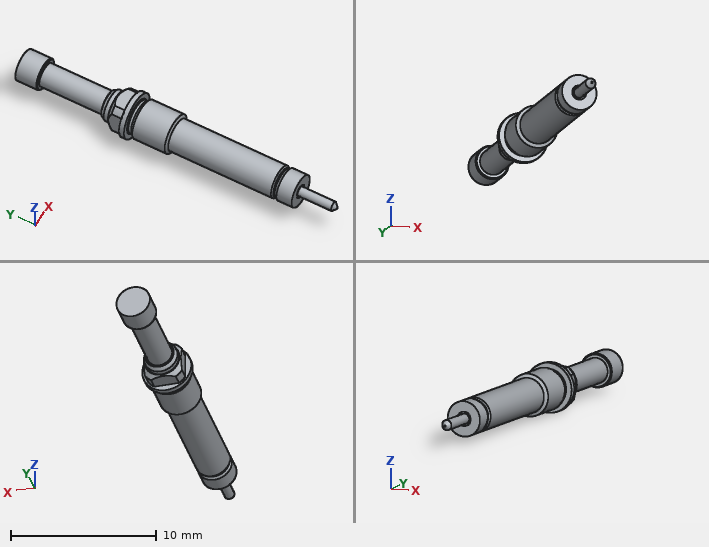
import cadquery as cq


plunger_top = 9.0
head_radius = 1.2
head_length = 1.75
head_chamfer = 0.08
shaft_radius = 0.9

collar_top = 2.25
collar_radius = 1.2
collar_chamfer_length = 0.31
collar_chamfer_depth = 0.18
key_top = 1.58
key_cone_start_radius = 1.25
key_cone_end = 1.23
key_radius = 1.59
key_across_flats = 2.65

flange_radius = 1.75
flange_thickness = 0.4
undercut_radius = 1.27
undercut_chamfer = 0.07
undercut_end = -0.29

barrel_radius = 1.5
barrel_end = -3.1
barrel_tail_chamfer_length = 0.13

tube_radius = 1.24
tube_end = -13.08
groove_center = -11.65
groove_depth = 0.12
groove_half_width = 0.22
groove_floor_width = 0.1

pin_radius = 0.36
pin_length = 2.92
pin_tip_radius = 0.06
recess_radius = 0.5
recess_depth = 0.1


def turned_body():
    """Revolve the half profile (radius, position) about the Y axis."""
    head_bottom = plunger_top - head_length
    barrel_start = undercut_end - (barrel_radius - undercut_radius)
    groove_top = groove_center + groove_half_width
    groove_bottom = groove_center - groove_half_width
    groove_radius = tube_radius - groove_depth
    pin_tip = tube_end - pin_length
    pin_shoulder = pin_tip + (pin_radius - pin_tip_radius)

    profile = [
        (0, plunger_top),
        (head_radius, plunger_top),
        (head_radius, head_bottom + head_chamfer),
        (head_radius - head_chamfer, head_bottom),
        (shaft_radius, head_bottom),
        (shaft_radius, collar_top),
        (collar_radius - collar_chamfer_depth, collar_top),
        (collar_radius, collar_top - collar_chamfer_length),
        (collar_radius, key_top),
        (key_cone_start_radius, key_top),
        (key_radius, key_cone_end),
        (key_radius, flange_thickness),
        (flange_radius, flange_thickness),
        (flange_radius, 0),
        (undercut_radius + undercut_chamfer, 0),
        (undercut_radius, -undercut_chamfer),
        (undercut_radius, undercut_end),
        (barrel_radius, barrel_start),
        (barrel_radius, barrel_end),
        (tube_radius, barrel_end - barrel_tail_chamfer_length),
        (tube_radius, groove_top),
        (groove_radius, groove_center + groove_floor_width),
        (groove_radius, groove_center),
        (tube_radius, groove_bottom),
        (tube_radius, tube_end),
        (recess_radius, tube_end),
        (recess_radius, tube_end + recess_depth),
        (pin_radius, tube_end + recess_depth),
        (pin_radius, pin_shoulder),
        (pin_tip_radius, pin_tip),
        (0, pin_tip),
    ]
    return cq.Workplane("XY").polyline(profile).close().revolve(360, (0, 0, 0), (0, 1, 0))


def key_flat_cutter():
    """Square frame that leaves four flats on the key section."""
    key_length = key_top - flange_thickness
    frame_size = 2 * flange_radius
    return (
        cq.Workplane("XZ", origin=(0, key_top, 0))
        .rect(frame_size, frame_size)
        .rect(key_across_flats, key_across_flats)
        .extrude(key_length)
    )


result = turned_body().cut(key_flat_cutter())